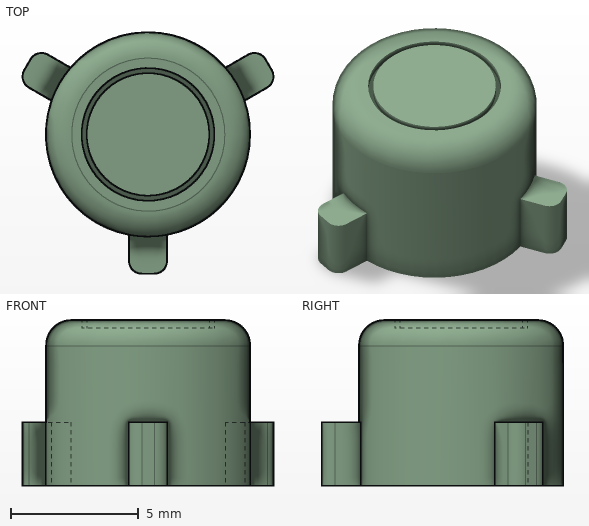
import cadquery as cq

body_diameter = 8.0
body_height = 6.5
top_edge_radius = 1.0

groove_outer_diameter = 5.2
groove_inner_diameter = 4.8
groove_depth = 0.3

tab_count = 3
tab_reach = 5.46
tab_width = 1.49
tab_height = 2.5
tab_corner_radius = 0.5
first_tab_angle = -90


def make_body():
    """Cylinder with a rounded top edge."""
    body = cq.Workplane("XY").circle(body_diameter / 2).extrude(body_height)
    return body.faces(">Z").edges().fillet(top_edge_radius)


def make_groove():
    """Ring to be cut from the top face."""
    return (
        cq.Workplane("XY")
        .workplane(offset=body_height - groove_depth)
        .circle(groove_outer_diameter / 2)
        .circle(groove_inner_diameter / 2)
        .extrude(groove_depth)
    )


def make_tab(angle):
    """Radial tab starting at the body axis, with rounded outer corners."""
    tab = cq.Workplane("XY").box(tab_reach, tab_width, tab_height, centered=(False, True, False))
    tab = tab.edges("|Z and >X").fillet(tab_corner_radius)
    return tab.rotate((0, 0, 0), (0, 0, 1), angle)


result = make_body()
for index in range(tab_count):
    result = result.union(make_tab(first_tab_angle + index * 360 / tab_count))
result = result.cut(make_groove())